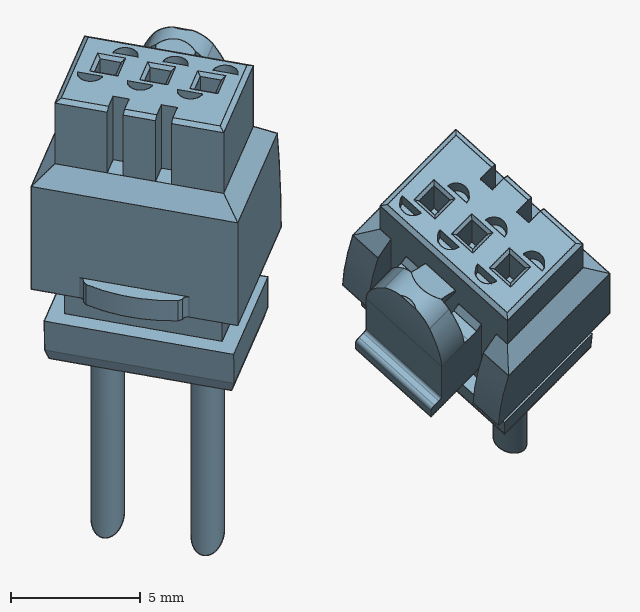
import cadquery as cq
import math


PIN_DIAMETER = 1.3
PIN_LENGTH = 10.0
PITCH = 2.0
PIN_XS = (-PITCH, PITCH)

COLLAR_WIDTH = 7.58
COLLAR_BACK = 2.2
COLLAR_FRONT = -2.72
COLLAR_DRAFT = 0.08
COLLAR_HEIGHT = 2.0
COLLAR_BEVEL_HEIGHT = 0.5
COLLAR_BEVEL_INSET = 0.14

PLUG_WIDTH = 6.75
PLUG_BACK = 1.6
PLUG_FRONT = -2.65
PLUG_TOP = 13.0
PLUG_BEVEL_INSET = 0.2
PLUG_BEVEL_HEIGHT = 0.14
NECK_WIDTH = 6.3
NECK_FRONT = -2.07

HOUSING_WIDTH = 8.26
HOUSING_FRONT = -3.35
HOUSING_BOTTOM = 4.0
HOUSING_TOP = 9.1
SHOULDER_TOP = 9.85
HOUSING_BACK_BOTTOM = 2.9
HOUSING_BACK_TOP = 2.33
HOUSING_BACK_BULGE = 0.12
WING_INNER_X = 2.79

LATCH_WIDTH = 4.0
LATCH_FRONT = 2.57
LATCH_BACK = 3.83
LATCH_TOP = 12.47
LATCH_TOP_BACK = 3.58
LATCH_TIP_BEVEL_DEPTH = 0.12
LATCH_TIP_BEVEL_HEIGHT = 0.06
LATCH_CROWN_HALF_WIDTH = 1.2
LATCH_CROWN_START = 11.84
FOOT_BACK = 4.43
FOOT_HEIGHT = 1.0
FOOT_EDGE_RADIUS = 0.2
FOOT_FILLET = 0.15
ROOT_FILLET = 0.22
ROOT_RAMP = 0.27
CHANNEL_WIDTH = 1.58

HOOK_SLOPE_START = 2.84
HOOK_TIP = 1.78
HOOK_TIP_TOP = 11.53
HOOK_TIP_BOTTOM = 11.29
HOOK_ROOT_BOTTOM = 11.42

STOP_HEIGHT = 1.0
STOP_HALF_WIDTH = 1.98
STOP_FILLET = 0.2
STOP_CORNER_BEVEL = 0.14
STOP_FRONT = -3.97

SOCKET_XS = (-PITCH, 0.0, PITCH)
SOCKET_SIZE = 0.84
SOCKET_MOUTH_SIZE = 1.12
SOCKET_DEPTH = 3.0
POCKET_RADIUS = 0.5
POCKET_SAG = 0.44
POCKET_FLAT_Y = 0.75
POCKET_SHIFT = 0.5
POCKET_DEPTH = 1.0
KEY_SLOT_WIDTH = 0.64
KEY_SLOT_DEPTH = 0.84
KEY_SLOT_X = 0.965

ARC_MIDDLE = 1 - math.sqrt(0.5)


def block(width, front, back, bottom, top):
    """Box centred on x = 0 between the given y and z limits."""
    size_y = back - front
    size_z = top - bottom
    box = cq.Workplane("XY").box(width, size_y, size_z, centered=(True, False, False))
    return box.translate((0, front, bottom))


def side_plane(half_width):
    """YZ sketch plane at x = -half_width, so that extrusions run towards +X."""
    return cq.Workplane("YZ", origin=(-half_width, 0, 0))


def make_pin(x):
    """Round pin with a 45 degree tip whose point is on the -Y side."""
    radius = PIN_DIAMETER / 2
    pin = cq.Workplane("XY").center(x, 0).circle(radius).extrude(-PIN_LENGTH)
    tip_waste = (
        cq.Workplane("YZ", origin=(x - radius, 0, 0))
        .moveTo(-radius, -PIN_LENGTH)
        .lineTo(radius, -PIN_LENGTH)
        .lineTo(radius, -PIN_LENGTH + PIN_DIAMETER)
        .close()
        .extrude(PIN_DIAMETER)
    )
    return pin.cut(tip_waste)


def make_collar():
    """Collar with a drafted front and a bevelled underside, notched behind for the latch channel."""
    bevel_front = COLLAR_FRONT + COLLAR_DRAFT
    profile = [
        (COLLAR_FRONT, COLLAR_HEIGHT),
        (bevel_front, COLLAR_BEVEL_HEIGHT),
        (bevel_front + COLLAR_BEVEL_INSET, 0),
        (COLLAR_BACK - COLLAR_BEVEL_INSET, 0),
        (COLLAR_BACK, COLLAR_BEVEL_HEIGHT),
        (COLLAR_BACK, COLLAR_HEIGHT),
    ]
    half_width = COLLAR_WIDTH / 2
    collar = side_plane(half_width).polyline(profile).close().extrude(COLLAR_WIDTH)
    end_outline = [
        (-half_width, COLLAR_HEIGHT),
        (-half_width, COLLAR_BEVEL_HEIGHT),
        (-half_width + COLLAR_BEVEL_INSET, 0),
        (half_width - COLLAR_BEVEL_INSET, 0),
        (half_width, COLLAR_BEVEL_HEIGHT),
        (half_width, COLLAR_HEIGHT),
    ]
    bevelled_ends = (
        cq.Workplane("XZ", origin=(0, COLLAR_BACK, 0))
        .polyline(end_outline)
        .close()
        .extrude(COLLAR_BACK - COLLAR_FRONT)
    )
    notch = block(CHANNEL_WIDTH, PLUG_BACK, COLLAR_BACK, 0, COLLAR_HEIGHT)
    return collar.intersect(bevelled_ends).cut(notch)


def make_housing():
    """Housing with a sloped shoulder and two rear wings with curved backs."""
    height = HOUSING_TOP - HOUSING_BOTTOM
    back_middle = (HOUSING_BACK_BOTTOM + HOUSING_BACK_TOP) / 2 + HOUSING_BACK_BULGE
    body = (
        side_plane(HOUSING_WIDTH / 2)
        .moveTo(HOUSING_FRONT, HOUSING_TOP)
        .lineTo(HOUSING_FRONT, HOUSING_BOTTOM)
        .lineTo(HOUSING_BACK_BOTTOM, HOUSING_BOTTOM)
        .threePointArc((back_middle, HOUSING_BOTTOM + height / 2), (HOUSING_BACK_TOP, HOUSING_TOP))
        .close()
        .extrude(HOUSING_WIDTH)
    )
    base_depth = HOUSING_BACK_TOP - HOUSING_FRONT
    base_y = (HOUSING_BACK_TOP + HOUSING_FRONT) / 2
    plug_depth = PLUG_BACK - PLUG_FRONT
    plug_y = (PLUG_BACK + PLUG_FRONT) / 2
    shoulder = (
        cq.Workplane("XY", origin=(0, base_y, HOUSING_TOP))
        .rect(HOUSING_WIDTH, base_depth)
        .workplane(offset=SHOULDER_TOP - HOUSING_TOP)
        .center(0, plug_y - base_y)
        .rect(PLUG_WIDTH, plug_depth)
        .loft(ruled=True)
    )
    rear_gap = block(2 * WING_INNER_X, PLUG_BACK, HOUSING_BACK_BOTTOM, HOUSING_BOTTOM, SHOULDER_TOP)
    return body.union(shoulder).cut(rear_gap)


def make_plug():
    """Plug block above the shoulder, and the neck below the housing."""
    bevel_bottom = PLUG_TOP - PLUG_BEVEL_HEIGHT
    depth = PLUG_BACK - PLUG_FRONT
    plug = block(PLUG_WIDTH, PLUG_FRONT, PLUG_BACK, HOUSING_TOP, bevel_bottom)
    bevelled_rim = (
        cq.Workplane("XY", origin=(0, (PLUG_BACK + PLUG_FRONT) / 2, bevel_bottom))
        .rect(PLUG_WIDTH, depth)
        .workplane(offset=PLUG_BEVEL_HEIGHT)
        .rect(PLUG_WIDTH - 2 * PLUG_BEVEL_INSET, depth - 2 * PLUG_BEVEL_INSET)
        .loft(ruled=True)
    )
    neck = block(NECK_WIDTH, NECK_FRONT, PLUG_BACK, COLLAR_HEIGHT, HOUSING_BOTTOM)
    return plug.union(bevelled_rim).union(neck)


def make_latch():
    """Rear latch lever: split root, foot, arched arm and hook."""
    half_width = LATCH_WIDTH / 2
    foot_top = HOUSING_BOTTOM + FOOT_HEIGHT
    bevel_bottom = LATCH_TOP - LATCH_TIP_BEVEL_HEIGHT
    lean_inset = LATCH_BACK - LATCH_TOP_BACK
    lean_middle = (LATCH_BACK - lean_inset / 4, (HOUSING_TOP + bevel_bottom) / 2)
    side = (
        side_plane(half_width)
        .moveTo(PLUG_BACK, HOUSING_BOTTOM)
        .lineTo(FOOT_BACK, HOUSING_BOTTOM)
        .lineTo(FOOT_BACK, foot_top - FOOT_EDGE_RADIUS)
        .threePointArc(
            (FOOT_BACK - ARC_MIDDLE * FOOT_EDGE_RADIUS, foot_top - ARC_MIDDLE * FOOT_EDGE_RADIUS),
            (FOOT_BACK - FOOT_EDGE_RADIUS, foot_top),
        )
        .lineTo(LATCH_BACK + FOOT_FILLET, foot_top)
        .threePointArc(
            (LATCH_BACK + ARC_MIDDLE * FOOT_FILLET, foot_top + ARC_MIDDLE * FOOT_FILLET),
            (LATCH_BACK, foot_top + FOOT_FILLET),
        )
        .lineTo(LATCH_BACK, HOUSING_TOP)
        .threePointArc(lean_middle, (LATCH_TOP_BACK, bevel_bottom))
        .lineTo(LATCH_TOP_BACK - LATCH_TIP_BEVEL_DEPTH, LATCH_TOP)
        .lineTo(LATCH_FRONT, LATCH_TOP)
        .lineTo(LATCH_FRONT, HOUSING_TOP + ROOT_FILLET)
        .threePointArc(
            (LATCH_FRONT - ARC_MIDDLE * ROOT_FILLET, HOUSING_TOP + ARC_MIDDLE * ROOT_FILLET),
            (LATCH_FRONT - ROOT_FILLET, HOUSING_TOP),
        )
        .lineTo(PLUG_BACK + ROOT_RAMP, HOUSING_TOP)
        .lineTo(PLUG_BACK, HOUSING_TOP + ROOT_RAMP)
        .close()
        .extrude(LATCH_WIDTH)
    )
    channel = block(CHANNEL_WIDTH, PLUG_BACK, LATCH_FRONT, HOUSING_BOTTOM, SHOULDER_TOP)
    hook = (
        side_plane(CHANNEL_WIDTH / 2)
        .moveTo(HOOK_SLOPE_START, HOOK_ROOT_BOTTOM)
        .lineTo(LATCH_FRONT, HOOK_ROOT_BOTTOM)
        .lineTo(HOOK_TIP, HOOK_TIP_BOTTOM)
        .lineTo(HOOK_TIP, HOOK_TIP_TOP)
        .lineTo(HOOK_SLOPE_START, LATCH_TOP)
        .close()
        .extrude(CHANNEL_WIDTH)
    )
    slope_waste = (
        side_plane(half_width)
        .moveTo(HOOK_SLOPE_START, LATCH_TOP)
        .lineTo(HOOK_TIP, LATCH_TOP)
        .lineTo(HOOK_TIP, HOOK_TIP_TOP)
        .close()
        .extrude(LATCH_WIDTH)
    )
    arm = side.cut(channel).union(hook).cut(slope_waste)
    return arm.intersect(make_arch())


def make_arch():
    """Arched outline of the latch as seen from behind, extruded through its depth."""
    half_width = LATCH_WIDTH / 2
    half_crown = LATCH_CROWN_HALF_WIDTH
    side_inset = half_width - half_crown
    side_rise = LATCH_CROWN_START - HOUSING_TOP
    side_radius = (side_inset**2 + side_rise**2) / (2 * side_inset)
    half_angle = math.asin(side_rise / side_radius) / 2
    middle_x = half_width - side_radius * (1 - math.cos(half_angle))
    middle_z = HOUSING_TOP + side_radius * math.sin(half_angle)
    return (
        cq.Workplane("XZ", origin=(0, FOOT_BACK, 0))
        .moveTo(-half_width, HOUSING_BOTTOM)
        .lineTo(-half_width, HOUSING_TOP)
        .threePointArc((-middle_x, middle_z), (-half_crown, LATCH_CROWN_START))
        .threePointArc((0, LATCH_TOP), (half_crown, LATCH_CROWN_START))
        .threePointArc((middle_x, middle_z), (half_width, HOUSING_TOP))
        .lineTo(half_width, HOUSING_BOTTOM)
        .close()
        .extrude(FOOT_BACK - PLUG_BACK)
    )


def make_stop():
    """Bowed stop on the front face, with bevelled corners and a fillet to the wall at both ends."""
    outer_x = STOP_HALF_WIDTH + STOP_FILLET
    fillet_end_y = HOUSING_FRONT - STOP_FILLET
    fillet_x = STOP_HALF_WIDTH + ARC_MIDDLE * STOP_FILLET
    fillet_y = HOUSING_FRONT - ARC_MIDDLE * STOP_FILLET
    bow_x = STOP_HALF_WIDTH - STOP_CORNER_BEVEL
    bow_y = fillet_end_y - STOP_CORNER_BEVEL
    return (
        cq.Workplane("XY", origin=(0, 0, HOUSING_BOTTOM))
        .moveTo(-outer_x, HOUSING_FRONT)
        .threePointArc((-fillet_x, fillet_y), (-STOP_HALF_WIDTH, fillet_end_y))
        .lineTo(-bow_x, bow_y)
        .threePointArc((0, STOP_FRONT), (bow_x, bow_y))
        .lineTo(STOP_HALF_WIDTH, fillet_end_y)
        .threePointArc((fillet_x, fillet_y), (outer_x, HOUSING_FRONT))
        .close()
        .extrude(STOP_HEIGHT)
    )


def make_socket(x):
    """Square blind socket with a 45 degree lead-in."""
    mouth_depth = (SOCKET_MOUTH_SIZE - SOCKET_SIZE) / 2
    top_plane = cq.Workplane("XY", origin=(x, 0, PLUG_TOP))
    bore = top_plane.rect(SOCKET_SIZE, SOCKET_SIZE).extrude(-SOCKET_DEPTH)
    mouth = (
        top_plane.rect(SOCKET_MOUTH_SIZE, SOCKET_MOUTH_SIZE)
        .workplane(offset=-mouth_depth)
        .rect(SOCKET_SIZE, SOCKET_SIZE)
        .loft(ruled=True)
    )
    return bore.union(mouth)


def make_pocket(x, side):
    """D-shaped pocket with its flat towards the sockets; side is +1 behind them and -1 in front."""
    flat_y = side * POCKET_FLAT_Y
    return (
        cq.Workplane("XY", origin=(x, 0, PLUG_TOP))
        .moveTo(-POCKET_RADIUS, flat_y)
        .threePointArc((0, flat_y + side * POCKET_SAG), (POCKET_RADIUS, flat_y))
        .close()
        .extrude(-POCKET_DEPTH)
    )


def make_key_slot(x):
    """Vertical keying slot in the front of the plug block."""
    slot = block(KEY_SLOT_WIDTH, PLUG_FRONT, PLUG_FRONT + KEY_SLOT_DEPTH, SHOULDER_TOP, PLUG_TOP)
    return slot.translate((x, 0, 0))


result = make_collar().union(make_plug()).union(make_housing())
result = result.union(make_latch()).union(make_stop())
for pin_x in PIN_XS:
    result = result.union(make_pin(pin_x))
for socket_x in SOCKET_XS:
    result = result.cut(make_socket(socket_x))
    for row_side in (1, -1):
        result = result.cut(make_pocket(socket_x + row_side * POCKET_SHIFT, row_side))
for slot_x in (-KEY_SLOT_X, KEY_SLOT_X):
    result = result.cut(make_key_slot(slot_x))